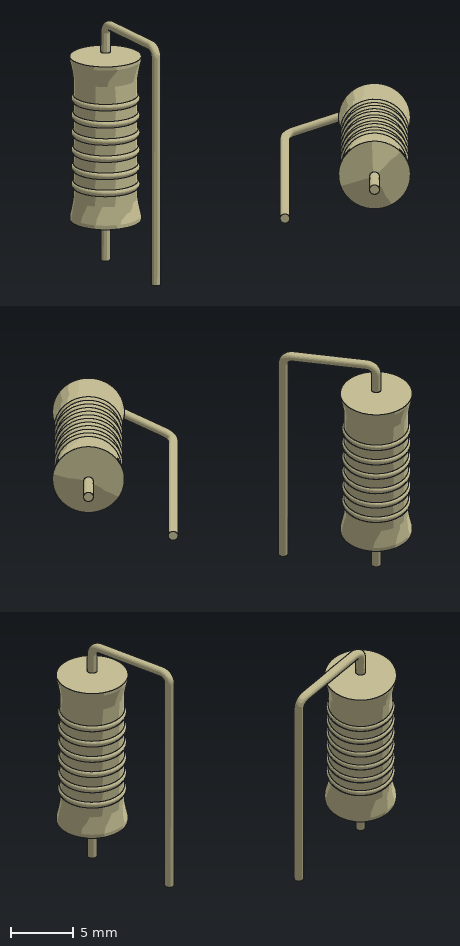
import cadquery as cq
import math


wire_radius = 0.4
lead_pitch = 7.62
lead_bottom = -3.0
wire_axis_top = 17.0
bend_radius = 0.8

body_radius = 2.9
core_radius = 2.61
body_bottom = 0.1
body_length = 14.5
body_top = body_bottom + body_length

cone_height = 0.3625
rim_height = 0.33
flare_start = cone_height + rim_height
flare_end = 2.175
flare_mid = (flare_start + flare_end) / 2
flare_sag = 0.025
flare_mid_radius = (body_radius + core_radius) / 2 - flare_sag

band_count = 6
band_pitch = 1.45
band_width = 0.55
band_radius = 2.78
first_band_depth = flare_end + band_pitch
first_band_top = body_top - first_band_depth


def make_body():
    """Solid of revolution: shallow conical ends, short rims and concave flares to the core."""
    return (
        cq.Workplane("XZ")
        .moveTo(0, body_bottom)
        .lineTo(wire_radius, body_bottom)
        .lineTo(body_radius, body_bottom + cone_height)
        .lineTo(body_radius, body_bottom + flare_start)
        .threePointArc(
            (flare_mid_radius, body_bottom + flare_mid),
            (core_radius, body_bottom + flare_end),
        )
        .lineTo(core_radius, body_top - flare_end)
        .threePointArc(
            (flare_mid_radius, body_top - flare_mid),
            (body_radius, body_top - flare_start),
        )
        .lineTo(body_radius, body_top - cone_height)
        .lineTo(wire_radius, body_top)
        .lineTo(0, body_top)
        .close()
        .revolve(360, (0, 0, 0), (0, 1, 0))
    )


def make_band(top):
    """Ring with a round crown, filled in to the body axis."""
    bottom = top - band_width
    return (
        cq.Workplane("XZ")
        .moveTo(0, bottom)
        .lineTo(core_radius, bottom)
        .threePointArc((band_radius, top - band_width / 2), (core_radius, top))
        .lineTo(0, top)
        .close()
        .revolve(360, (0, 0, 0), (0, 1, 0))
    )


def make_wire():
    """Round wire through the body, bent over the top and down to the second lead."""
    bend_offset = bend_radius * (1 - math.cos(math.radians(45)))
    bend_start = wire_axis_top - bend_radius
    path = (
        cq.Workplane("XZ")
        .moveTo(0, lead_bottom)
        .lineTo(0, bend_start)
        .threePointArc(
            (bend_offset, wire_axis_top - bend_offset),
            (bend_radius, wire_axis_top),
        )
        .lineTo(lead_pitch - bend_radius, wire_axis_top)
        .threePointArc(
            (lead_pitch - bend_offset, wire_axis_top - bend_offset),
            (lead_pitch, bend_start),
        )
        .lineTo(lead_pitch, lead_bottom)
    )
    return (
        cq.Workplane("XY", origin=(0, 0, lead_bottom))
        .circle(wire_radius)
        .sweep(path)
    )


result = make_body()
for index in range(band_count):
    result = result.union(make_band(first_band_top - index * band_pitch))
result = result.union(make_wire())